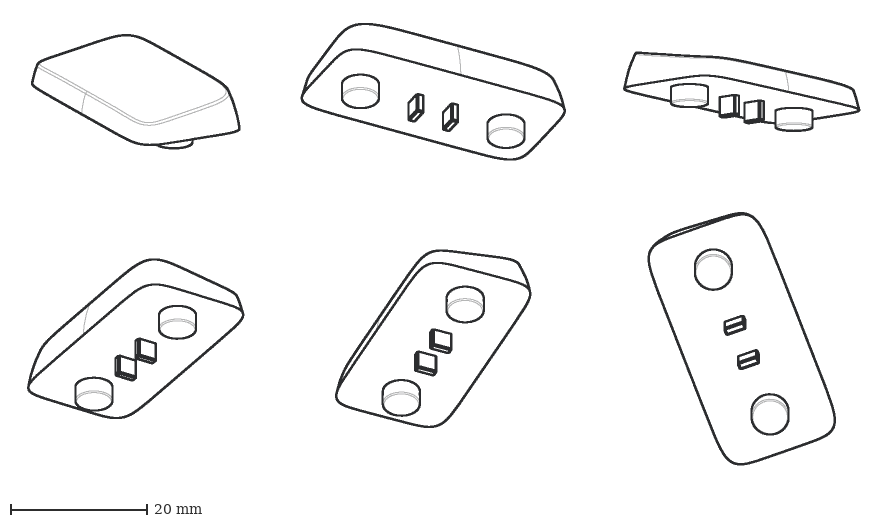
import cadquery as cq
import math

LENGTH = 37.05
DEPTH = 18.0
HALF_X = LENGTH / 2
HALF_Y = DEPTH / 2

BASE_SIDE_POWER = 10.0
BASE_END_POWER = 6.5

MID_FRONT_HEIGHT = 1.78
MID_BACK_HEIGHT = 2.95
MID_FRONT_INSET = 0.25
MID_BACK_INSET = 0.37
MID_SIDE_INSET = 0.5
MID_SIDE_POWER = 9.0
MID_FRONT_POWER = 7.0
MID_BACK_POWER = 6.0

UPPER_FRONT_HEIGHT = 3.9
UPPER_BACK_HEIGHT = 6.5
UPPER_FRONT_INSET = 0.95
UPPER_BACK_INSET = 1.37
UPPER_SIDE_INSET = 1.05
UPPER_SIDE_POWER = 8.0
UPPER_FRONT_POWER = 8.0
UPPER_BACK_POWER = 4.0

OUTLINE_STEPS = 24

TOP_FRONT_HEIGHT = 3.22
TOP_BACK_HEIGHT = 6.25
TOP_DISH = 0.05
END_DROP = 0.75
END_DROP_POWER = 5
TOP_REACH = 1.1
ROLL_STEPS = 10
RIM_RADIUS = 0.45

BOSS_DIAMETER = 5.5
BOSS_LENGTH = 2.45
BOSS_X = 12.0
BOSS_EDGE = 0.2

TAB_LENGTH = 2.93
TAB_THICKNESS = 1.15
TAB_WIDTH = 3.08
TAB_X = 2.85
TAB_EDGE = 0.2


def wall_outline(front_height, back_height, front_inset, back_inset, side_inset,
                 side_power, front_power, back_power):
    """Superellipse on a plane rising from front to back, made of a right and a left half."""
    mid_y = (front_inset - back_inset) / 2
    half_y = HALF_Y - (front_inset + back_inset) / 2
    half_x = HALF_X - side_inset
    mid_height = (front_height + back_height) / 2
    half_rise = (back_height - front_height) / 2

    def half_outline(side):
        points = []
        for step in range(OUTLINE_STEPS + 1):
            turn = math.pi * (step / OUTLINE_STEPS - 0.5)
            angle = turn - math.sin(4 * turn) / 4
            end_power = front_power if angle < 0 else back_power
            across = abs(math.cos(angle)) ** (2 / side_power)
            if step in (0, OUTLINE_STEPS):
                across = 0
            along = math.copysign(abs(math.sin(angle)) ** (2 / end_power), turn)
            points.append(cq.Vector(side * half_x * across,
                                    mid_y + half_y * along,
                                    mid_height + half_rise * along))
        outward = cq.Vector(side, 0, 0)
        return cq.Edge.makeSpline(points, tangents=[outward, -outward])

    return cq.Wire.assembleEdges([half_outline(1), half_outline(-1)])


def cap_blank():
    """Drafted, slightly convex walls, taller than the finished cap."""
    base = wall_outline(0, 0, 0, 0, 0, BASE_SIDE_POWER, BASE_END_POWER, BASE_END_POWER)
    middle = wall_outline(MID_FRONT_HEIGHT, MID_BACK_HEIGHT,
                          MID_FRONT_INSET, MID_BACK_INSET, MID_SIDE_INSET,
                          MID_SIDE_POWER, MID_FRONT_POWER, MID_BACK_POWER)
    upper = wall_outline(UPPER_FRONT_HEIGHT, UPPER_BACK_HEIGHT,
                         UPPER_FRONT_INSET, UPPER_BACK_INSET, UPPER_SIDE_INSET,
                         UPPER_SIDE_POWER, UPPER_FRONT_POWER, UPPER_BACK_POWER)
    return cq.Workplane(obj=cq.Solid.makeLoft([base, middle, upper]))


def below_top_face():
    """Solid under the top face: its X profile swept along the dished slope."""
    reach_x = TOP_REACH * HALF_X
    reach_y = TOP_REACH * HALF_Y
    mid_height = (TOP_FRONT_HEIGHT + TOP_BACK_HEIGHT) / 2
    slope = (TOP_BACK_HEIGHT - TOP_FRONT_HEIGHT) / DEPTH
    front_height = mid_height - slope * reach_y
    back_height = mid_height + slope * reach_y
    depth_below = 2 * TOP_BACK_HEIGHT

    roll = []
    for step in range(ROLL_STEPS + 1):
        x = reach_x * (2 * step / ROLL_STEPS - 1)
        roll.append((x, -END_DROP * abs(x / HALF_X) ** END_DROP_POWER))

    slope_path = (
        cq.Workplane("YZ")
        .moveTo(-reach_y, front_height)
        .threePointArc((0, mid_height - TOP_DISH), (reach_y, back_height))
    )
    return (
        cq.Workplane("XZ", origin=(0, -reach_y, front_height))
        .moveTo(*roll[0])
        .spline(roll[1:], includeCurrent=True)
        .lineTo(reach_x, -depth_below)
        .lineTo(-reach_x, -depth_below)
        .close()
        .sweep(slope_path)
    )


def cap():
    """Walls trimmed by the top face, with the rim between them rounded."""
    trimmed = cap_blank().intersect(below_top_face())
    return trimmed.faces(">Z").edges().fillet(RIM_RADIUS)


def boss(x):
    """Round boss hanging from the base, its lower edge rounded."""
    return (
        cq.Workplane("XY")
        .center(x, 0)
        .circle(BOSS_DIAMETER / 2)
        .extrude(-BOSS_LENGTH)
        .faces("<Z")
        .edges()
        .fillet(BOSS_EDGE)
    )


def tab(x):
    """Flat tab hanging from the base, its upright and lower edges chamfered."""
    return (
        cq.Workplane("XY")
        .center(x, 0)
        .rect(TAB_THICKNESS, TAB_WIDTH)
        .extrude(-TAB_LENGTH)
        .edges("|Z or <Z")
        .chamfer(TAB_EDGE)
    )


result = cap()
for side in (-1, 1):
    result = result.union(boss(side * BOSS_X)).union(tab(side * TAB_X))